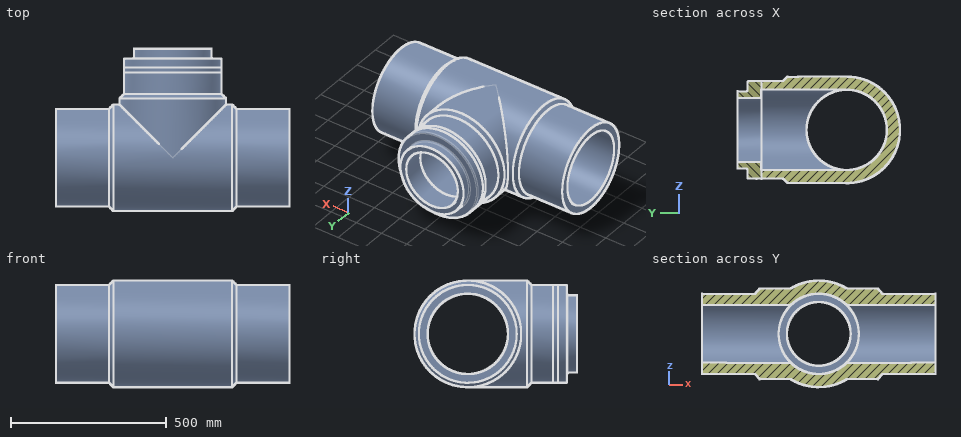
import cadquery as cq

PIPE_DIAMETER = 315.0
BORE_DIAMETER = 257.8
HUB_DIAMETER = 343.6
RUN_LENGTH = 752.0
HUB_REACH = 205.0
BRANCH_REACH = 274.0

STUB_END = 351.28
FLANGE_END = 319.4
RIM_LENGTH = 16.0
FLANGE_DIAMETER = 314.96
NECK_DIAMETER = 249.94
STUB_BORE_DIAMETER = 204.32
NECK_ROOT_DIAMETER = 257.56

PIPE_RADIUS = PIPE_DIAMETER / 2
HUB_RADIUS = HUB_DIAMETER / 2
HUB_BEVEL = HUB_RADIUS - PIPE_RADIUS
FILLET_RADIUS = (NECK_ROOT_DIAMETER - NECK_DIAMETER) / 2
FLANGE_START = BRANCH_REACH


def cylinder_along_x(diameter, length):
    """Cylinder centred on the origin with its axis along X."""
    return cq.Workplane("YZ").circle(diameter / 2).extrude(length / 2, both=True)


def cylinder_along_y(diameter, start, end):
    """Cylinder on the Y axis between two Y positions."""
    return cq.Workplane("XZ", origin=(0, start, 0)).circle(diameter / 2).extrude(start - end)


def make_hub():
    """Bevelled run hub joined to an equal branch hub."""
    run_hub = cylinder_along_x(HUB_DIAMETER, 2 * HUB_REACH).edges().chamfer(HUB_BEVEL)
    branch_hub = cylinder_along_y(HUB_DIAMETER, 0, HUB_REACH).faces(">Y").edges().chamfer(HUB_BEVEL)
    return run_hub.union(branch_hub)


def make_tee():
    """Hub with its pipe ends, bored through the run and the branch."""
    run_pipe = cylinder_along_x(PIPE_DIAMETER, RUN_LENGTH)
    branch_pipe = cylinder_along_y(PIPE_DIAMETER, 0, BRANCH_REACH)
    run_bore = cylinder_along_x(BORE_DIAMETER, RUN_LENGTH)
    branch_bore = cylinder_along_y(BORE_DIAMETER, 0, BRANCH_REACH)
    return make_hub().union(run_pipe).union(branch_pipe).cut(run_bore).cut(branch_bore)


def make_stub():
    """Flanged stub: its half section revolved about the Y axis."""
    bore_radius = STUB_BORE_DIAMETER / 2
    flange_radius = FLANGE_DIAMETER / 2
    neck_radius = NECK_DIAMETER / 2
    rim_end = FLANGE_START + RIM_LENGTH
    section = (
        cq.Workplane("XY")
        .moveTo(bore_radius, FLANGE_START)
        .lineTo(PIPE_RADIUS, FLANGE_START)
        .lineTo(PIPE_RADIUS, rim_end)
        .lineTo(flange_radius, rim_end)
        .lineTo(flange_radius, FLANGE_END - FILLET_RADIUS)
        .radiusArc((flange_radius - FILLET_RADIUS, FLANGE_END), -FILLET_RADIUS)
        .lineTo(neck_radius + FILLET_RADIUS, FLANGE_END)
        .radiusArc((neck_radius, FLANGE_END + FILLET_RADIUS), FILLET_RADIUS)
        .lineTo(neck_radius, STUB_END)
        .lineTo(bore_radius, STUB_END)
        .close()
    )
    return section.revolve(360, (0, 0, 0), (0, 1, 0))


tee = make_tee()
stub = make_stub()
result = cq.Compound.makeCompound([tee.val(), stub.val()])